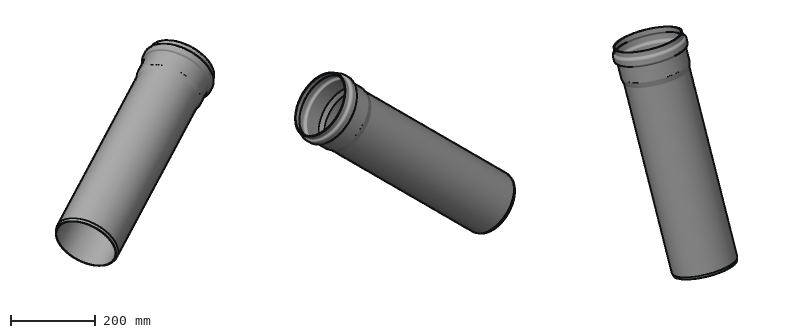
import cadquery as cq
import math

length = 581.0
pipe_outer_radius = 160.5 / 2
bore_radius = 151.5 / 2
socket_outer_radius = 167.5 / 2
socket_bore_radius = 161.0 / 2
bead_outer_radius = 180.0 / 2
bead_height = bead_outer_radius - socket_outer_radius

spigot_bevel_length = 7.0
spigot_bevel_depth = 2.5

bead_start = 11.0
bead_end = 39.0
socket_end = 77.0
taper_end = 91.0

foot_length = 3.5
shoulder_length = 5.0
flank_length = foot_length + shoulder_length
foot_height = bead_height * foot_length / flank_length

mouth = length / 2
spigot = -length / 2


def arc_middle(start, span, rise):
    """Middle of an arc that leaves start parallel to the pipe axis.

    The arc advances by span along the axis and by rise in radius.
    """
    half_angle = math.atan2(abs(rise), abs(span))
    arc_radius = abs(span) / math.sin(2 * half_angle)
    middle_span = math.copysign(arc_radius * math.sin(half_angle), span)
    middle_rise = math.copysign(arc_radius * (1 - math.cos(half_angle)), rise)
    return (start[0] + middle_rise, start[1] + middle_span)


def add_bead(sketch, base_radius):
    """Continue the profile over the bead, from its spigot side to its mouth side."""
    low = mouth - bead_end
    high = mouth - bead_start
    shoulder_radius = base_radius + foot_height
    crest_radius = base_radius + bead_height
    shoulder_rise = bead_height - foot_height

    low_foot = (base_radius, low)
    low_shoulder = (shoulder_radius, low + foot_length)
    low_crest = (crest_radius, low + flank_length)
    high_crest = (crest_radius, high - flank_length)
    high_shoulder = (shoulder_radius, high - foot_length)
    high_foot = (base_radius, high)

    return (
        sketch.lineTo(*low_foot)
        .threePointArc(arc_middle(low_foot, foot_length, foot_height), low_shoulder)
        .threePointArc(arc_middle(low_crest, -shoulder_length, -shoulder_rise), low_crest)
        .lineTo(*high_crest)
        .threePointArc(arc_middle(high_crest, shoulder_length, -shoulder_rise), high_shoulder)
        .threePointArc(arc_middle(high_foot, -foot_length, foot_height), high_foot)
    )


def revolved(pipe_points, socket_radius):
    """Solid of revolution about Y: the pipe points, then the beaded socket."""
    sketch = cq.Workplane("XY").moveTo(0, spigot)
    for radius, y in pipe_points:
        sketch = sketch.lineTo(radius, y)
    sketch = sketch.lineTo(socket_radius, mouth - socket_end)
    sketch = add_bead(sketch, socket_radius)
    sketch = sketch.lineTo(socket_radius, mouth).lineTo(0, mouth).close()
    return sketch.revolve(360, (0, 0, 0), (0, 1, 0))


body = revolved(
    [
        (pipe_outer_radius - spigot_bevel_depth, spigot),
        (pipe_outer_radius, spigot + spigot_bevel_length),
        (pipe_outer_radius, mouth - taper_end),
    ],
    socket_outer_radius,
)

cavity = revolved(
    [
        (bore_radius, spigot),
        (bore_radius, mouth - taper_end),
    ],
    socket_bore_radius,
)

result = body.cut(cavity)